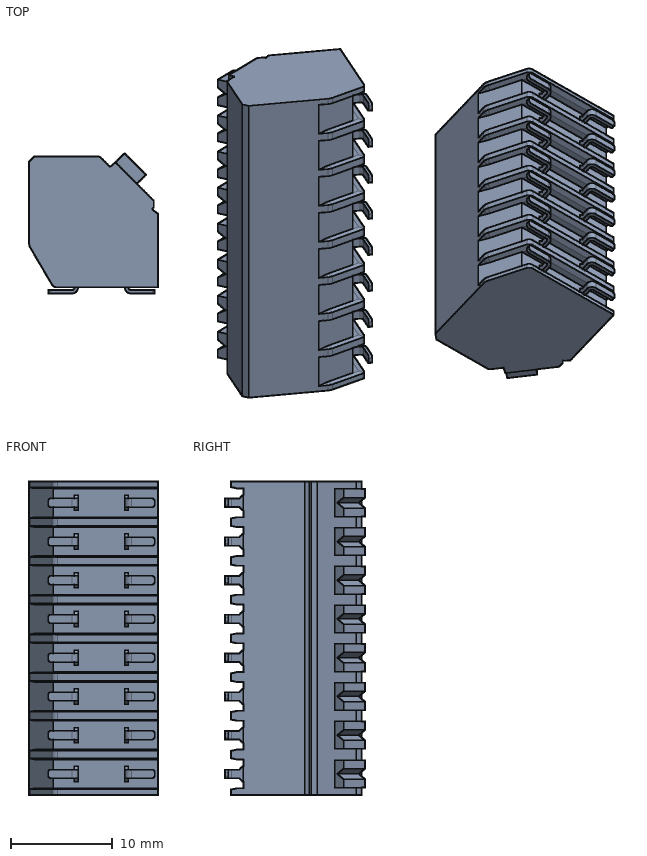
import cadquery as cq
import math

POLE_COUNT = 8
POLE_PITCH = 3.81
END_MARGIN = 0.195
BODY_WIDTH = 12.7
BODY_DEPTH = 12.9
BODY_HEIGHT = POLE_COUNT * POLE_PITCH + 2 * END_MARGIN

BACK_CHAMFER = 0.52
SLOPE_WIDTH = 2.42
SLOPE_DEPTH = 4.12
SLOPE_SIDE_RADIUS = 1.0
SLOPE_BASE_RADIUS = 0.6
SHOULDER_X = 6.95
SHOULDER_RADIUS = 0.45
VALLEY_DROP = 1.03
LEDGE_X = 8.5
LEDGE_Y = 12.32
LEVER_FACE_END_X = 12.3
GROOVE_TOP_Y = 7.9
GROOVE_X = 12.13
GROOVE_Y = 7.7
FRONT_CORNER_Y = 7.25

POCKET_DEPTH = 1.24
POCKET_SIDE_Y = 5.28
SLOPE_RATIO = SLOPE_DEPTH / SLOPE_WIDTH
RIB_RIM_THICKNESS = 0.75
RIB_CHAMFER_THICKNESS = 0.125
RIB_CHAMFER_INSET = 0.6
RIB_ROOT_THICKNESS = RIB_RIM_THICKNESS + 2 * RIB_CHAMFER_THICKNESS

LEVER_LENGTH = 3.0
LEVER_TIP_Y = 13.22
LEVER_PROJECTION = (LEVER_TIP_Y - LEDGE_Y) * math.sqrt(2)
LEVER_WIDTH = 2.72
LEVER_GROOVE_WIDTH = 1.04
LEVER_GROOVE_DEPTH = 0.9
LEVER_EMBED = 0.3

PIN_CENTRE_X = 7.13
PIN_GAP = 4.58
PIN_REACH = 2.94
PIN_THICKNESS = 0.36
PIN_DROP = 0.6
PIN_BEND_RADIUS = 0.62
PIN_WIDTH = 0.86
PIN_TIP_RADIUS = 0.25
PIN_ROOT_WIDTH = 1.5
PIN_TAPER_END_Y = 0.82
PIN_EMBED = 0.3

NEAR = 0.01


def pole_centre(index):
    return -BODY_HEIGHT / 2 + END_MARGIN + (index + 0.5) * POLE_PITCH


def back_outline_points():
    """Corners from the +X front corner round the back to the -X chamfer."""
    lever_face_drop = LEVER_FACE_END_X - LEDGE_X
    return [
        (BODY_WIDTH, FRONT_CORNER_Y),
        (GROOVE_X, GROOVE_Y),
        (LEVER_FACE_END_X, GROOVE_TOP_Y),
        (LEVER_FACE_END_X, LEDGE_Y - lever_face_drop),
        (LEDGE_X, LEDGE_Y),
        (SHOULDER_X + VALLEY_DROP, BODY_DEPTH - VALLEY_DROP),
        (SHOULDER_X, BODY_DEPTH),
        (BACK_CHAMFER, BODY_DEPTH),
        (0, BODY_DEPTH - BACK_CHAMFER),
    ]


def round_edge(solid, x, y, radius):
    """Round the edge along Z that stands at (x, y)."""
    edge_box = cq.selectors.BoxSelector(
        (x - NEAR, y - NEAR, -BODY_HEIGHT), (x + NEAR, y + NEAR, BODY_HEIGHT)
    )
    return solid.edges(edge_box).fillet(radius)


def make_prism(points, z_low, thickness):
    prism = cq.Workplane("XY", origin=(0, 0, z_low)).polyline(points).close().extrude(thickness)
    return round_edge(prism, SHOULDER_X, BODY_DEPTH, SHOULDER_RADIUS)


def make_core():
    """Solid interior that stops at the pocket floors."""
    slope_end_x = (POCKET_SIDE_Y - POCKET_DEPTH) / SLOPE_RATIO
    points = [
        (0, POCKET_SIDE_Y),
        (slope_end_x, POCKET_DEPTH),
        (BODY_WIDTH, POCKET_DEPTH),
    ] + back_outline_points()
    return make_prism(points, -BODY_HEIGHT / 2, BODY_HEIGHT)


def make_side_rounded_plate(thickness):
    """Slice of the full outline, with the corner at the foot of the slope left sharp."""
    points = [(0, SLOPE_DEPTH), (SLOPE_WIDTH, 0), (BODY_WIDTH, 0)] + back_outline_points()
    plate = make_prism(points, 0, thickness)
    return round_edge(plate, 0, SLOPE_DEPTH, SLOPE_SIDE_RADIUS)


def make_plate(thickness):
    """Slice of the full outline standing on Z = 0."""
    return round_edge(make_side_rounded_plate(thickness), SLOPE_WIDTH, 0, SLOPE_BASE_RADIUS)


def make_half_rib():
    """Upper half of a rib: its top face falls away towards the solder-side rim."""
    thickness = RIB_ROOT_THICKNESS / 2
    side_middle_y = (SLOPE_DEPTH + BODY_DEPTH) / 2
    rim_limits = cq.selectors.BoxSelector(
        (-NEAR, -NEAR, 0), (GROOVE_X, side_middle_y, BODY_HEIGHT)
    )
    rim_edges = make_side_rounded_plate(thickness).faces(">Z").edges(rim_limits)
    bevelled = rim_edges.chamfer(RIB_CHAMFER_THICKNESS, RIB_CHAMFER_INSET)
    return bevelled.intersect(make_plate(thickness))


def make_lever(z_centre):
    """Block on the 45 degree face, split by a V groove along its length."""
    plane = cq.Plane(origin=(LEDGE_X, LEDGE_Y, z_centre), xDir=(1, -1, 0), normal=(1, 1, 0))
    block = (
        cq.Workplane(plane)
        .workplane(offset=-LEVER_EMBED)
        .center(LEVER_LENGTH / 2, 0)
        .rect(LEVER_LENGTH, LEVER_WIDTH)
        .extrude(LEVER_EMBED + LEVER_PROJECTION)
    )
    end_plane = cq.Plane(origin=plane.origin, xDir=(0, 0, -1), normal=(1, -1, 0))
    groove = (
        cq.Workplane(end_plane)
        .polyline([
            (-LEVER_GROOVE_WIDTH / 2, LEVER_PROJECTION),
            (LEVER_GROOVE_WIDTH / 2, LEVER_PROJECTION),
            (0, LEVER_PROJECTION - LEVER_GROOVE_DEPTH),
        ])
        .close()
        .extrude(LEVER_LENGTH)
    )
    return block.cut(groove)


def make_terminal():
    """L-shaped terminal on the -X side of a pole, centred on Z = 0."""
    leg_x = PIN_CENTRE_X - PIN_GAP / 2
    tip_x = leg_x - PIN_REACH
    top_y = POCKET_DEPTH + PIN_EMBED
    leg_outer_x = leg_x - PIN_THICKNESS
    bend_x = leg_x - PIN_BEND_RADIUS
    bend_y = PIN_BEND_RADIUS - PIN_DROP
    foot_top_y = PIN_THICKNESS - PIN_DROP
    inner_radius = PIN_BEND_RADIUS - PIN_THICKNESS
    diagonal = math.sqrt(0.5)
    strip = (
        cq.Workplane("XY")
        .moveTo(tip_x, -PIN_DROP)
        .lineTo(bend_x, -PIN_DROP)
        .threePointArc(
            (bend_x + PIN_BEND_RADIUS * diagonal, bend_y - PIN_BEND_RADIUS * diagonal),
            (leg_x, bend_y),
        )
        .lineTo(leg_x, top_y)
        .lineTo(leg_outer_x, top_y)
        .lineTo(leg_outer_x, bend_y)
        .threePointArc(
            (bend_x + inner_radius * diagonal, bend_y - inner_radius * diagonal),
            (bend_x, foot_top_y),
        )
        .lineTo(tip_x, foot_top_y)
        .close()
        .extrude(PIN_WIDTH / 2, both=True)
        .edges("<X and |Y")
        .fillet(PIN_TIP_RADIUS)
    )
    flare = (PIN_ROOT_WIDTH - PIN_WIDTH) / 2
    root = (
        cq.Workplane("YZ", origin=(leg_outer_x, 0, 0))
        .polyline([
            (PIN_TAPER_END_Y, -PIN_WIDTH / 2),
            (PIN_TAPER_END_Y + flare, -PIN_ROOT_WIDTH / 2),
            (top_y, -PIN_ROOT_WIDTH / 2),
            (top_y, PIN_ROOT_WIDTH / 2),
            (PIN_TAPER_END_Y + flare, PIN_ROOT_WIDTH / 2),
            (PIN_TAPER_END_Y, PIN_WIDTH / 2),
        ])
        .close()
        .extrude(PIN_THICKNESS)
    )
    return strip.union(root)


def make_terminal_pair():
    left = make_terminal()
    right = left.mirror("YZ", (PIN_CENTRE_X, 0, 0))
    return left.add(right).combine()


def make_body():
    """Core with end walls and one rib between each two poles."""
    upper_half = make_half_rib()
    lower_half = upper_half.mirror("XY")
    rib = upper_half.union(lower_half)
    bottom_wall = make_plate(END_MARGIN).union(upper_half.translate((0, 0, END_MARGIN)))
    bottom_wall = bottom_wall.translate((0, 0, -BODY_HEIGHT / 2))
    body = make_core().union(bottom_wall).union(bottom_wall.mirror("XY"))
    for index in range(1, POLE_COUNT):
        rib_z = pole_centre(index) - POLE_PITCH / 2
        body = body.union(rib.translate((0, 0, rib_z)))
    return body


result = make_body()
terminal_pair = make_terminal_pair()
for pole in range(POLE_COUNT):
    result = result.union(make_lever(pole_centre(pole)))
    result = result.union(terminal_pair.translate((0, 0, pole_centre(pole))))